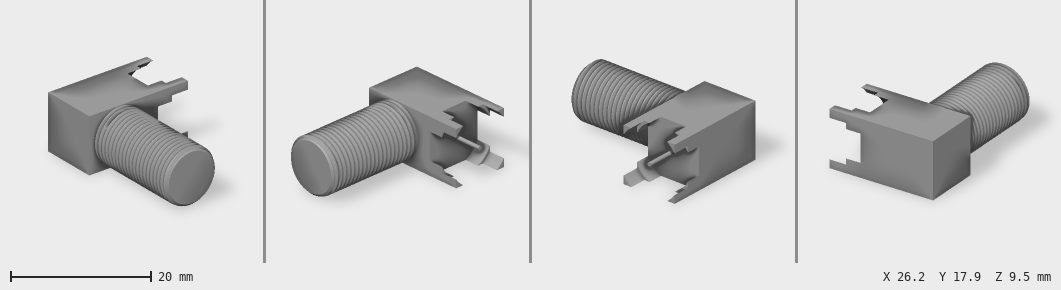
import cadquery as cq
import math

block_side = 9.5
overall_length = 26.24
overall_height = 17.9
stud_axis_to_base = 5.45
base_y = -stud_axis_to_base
leg_tip_y = base_y + overall_height
block_center_x = block_side / 2

recess_diameter = 10.6
recess_depth = 5.4
leg_tip_recess_diameter = 11.6
leg_tip_recess_depth = 2.9
pin_diameter = 0.65

stud_length = overall_length - block_side
thread_pitch = 25.4 / 32
thread_diameter = 9.35
thread_depth = 0.52
flank_angle = 60
root_flat = 0.04
end_chamfer = 0.55
groove_start = -0.6
groove_overshoot = 0.05


def rod_from_tip(diameter, depth):
    """Cylinder on the pin axis running from the leg tips into the block."""
    return (
        cq.Workplane("XZ", origin=(block_center_x, leg_tip_y, 0))
        .circle(diameter / 2)
        .extrude(depth)
    )


def make_block():
    body = (
        cq.Workplane("XY")
        .box(block_side, overall_height, block_side, centered=(False, False, True))
        .translate((0, base_y, 0))
    )
    body = body.cut(rod_from_tip(recess_diameter, recess_depth))
    return body.cut(rod_from_tip(leg_tip_recess_diameter, leg_tip_recess_depth))


def make_pin():
    return rod_from_tip(pin_diameter, recess_depth)


def make_groove(root_radius, cutter_radius):
    """Helical V groove around Z, closed from ruled sides and two end faces."""
    root_half_width = root_flat / 2
    flank_width = (cutter_radius - root_radius) * math.tan(math.radians(flank_angle / 2))
    mouth_half_width = root_half_width + flank_width
    helix_length = stud_length - groove_start + thread_pitch

    def helix(radius, axial_shift):
        wire = cq.Wire.makeHelix(thread_pitch, helix_length, radius)
        return wire.translate(cq.Vector(0, 0, groove_start + axial_shift))

    corners = [
        helix(root_radius, -root_half_width),
        helix(root_radius, root_half_width),
        helix(cutter_radius, mouth_half_width),
        helix(cutter_radius, -mouth_half_width),
    ]
    faces = []
    for first, second in zip(corners, corners[1:] + corners[:1]):
        faces.extend(cq.Face.makeRuledSurface(first, second).Faces())
    for end in (0, 1):
        outline = cq.Wire.makePolygon([corner.positionAt(end) for corner in corners], close=True)
        faces.append(cq.Face.makeFromWires(outline))
    return cq.Workplane(obj=cq.Solid.makeSolid(cq.Shell.makeShell(faces)))


def make_stud():
    """Threaded stud built along +Z, then turned to point along +X from the block."""
    crest_radius = thread_diameter / 2
    blank = (
        cq.Workplane("XY")
        .circle(crest_radius)
        .extrude(stud_length)
        .faces(">Z")
        .chamfer(end_chamfer)
    )
    groove = make_groove(crest_radius - thread_depth, crest_radius + groove_overshoot)
    stud = blank.cut(groove)
    return stud.rotate((0, 0, 0), (0, 1, 0), 90).translate((block_side, 0, 0))


result = make_block().union(make_pin()).union(make_stud())